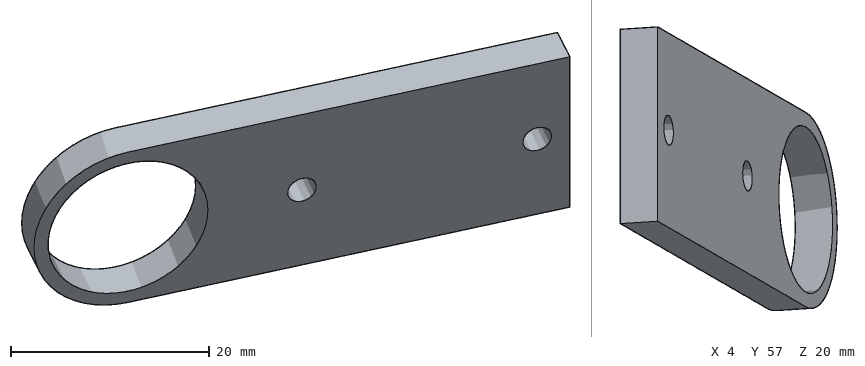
import cadquery as cq

length = 57.0
width = 20.0
thickness = 4.0
ring_hole_diameter = 17.0
screw_hole_diameter = 3.0
end_hole_inset = 3.5

end_radius = width / 2
square_end_y = length / 2
round_end_y = -length / 2
ring_center_y = round_end_y + end_radius
end_hole_y = square_end_y - end_hole_inset
middle_hole_y = 0.0


def cross_hole(y, diameter):
    """Cylinder that cuts through the full thickness at the given Y."""
    return (
        cq.Workplane("YZ")
        .center(y, 0)
        .circle(diameter / 2)
        .extrude(thickness / 2, both=True)
    )


bar = (
    cq.Workplane("YZ")
    .moveTo(square_end_y, -end_radius)
    .lineTo(ring_center_y, -end_radius)
    .threePointArc((round_end_y, 0), (ring_center_y, end_radius))
    .lineTo(square_end_y, end_radius)
    .close()
    .extrude(thickness / 2, both=True)
)

result = bar.cut(cross_hole(ring_center_y, ring_hole_diameter))

for hole_y in (end_hole_y, middle_hole_y):
    result = result.cut(cross_hole(hole_y, screw_hole_diameter))